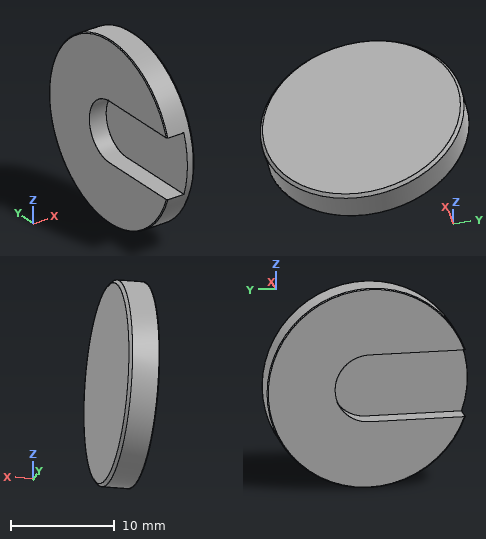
import cadquery as cq

disc_diameter = 20.0
disc_thickness = 3.0
slot_face_chamfer = 0.1
back_face_chamfer = 0.3

slot_width = 6.7
slot_depth = 2.0


def make_disc():
    """Disc standing on the YZ plane, with both rims chamfered."""
    disc = cq.Workplane("YZ").circle(disc_diameter / 2).extrude(disc_thickness)
    disc = disc.faces("<X").edges().chamfer(slot_face_chamfer)
    return disc.faces(">X").edges().chamfer(back_face_chamfer)


def make_slot():
    """Slot volume: a half-round end about the disc axis, running out past the rim."""
    slot_radius = slot_width / 2
    open_end = -disc_diameter
    return (
        cq.Workplane("YZ")
        .moveTo(open_end, -slot_radius)
        .lineTo(0, -slot_radius)
        .threePointArc((slot_radius, 0), (0, slot_radius))
        .lineTo(open_end, slot_radius)
        .close()
        .extrude(slot_depth)
    )


result = make_disc().cut(make_slot())